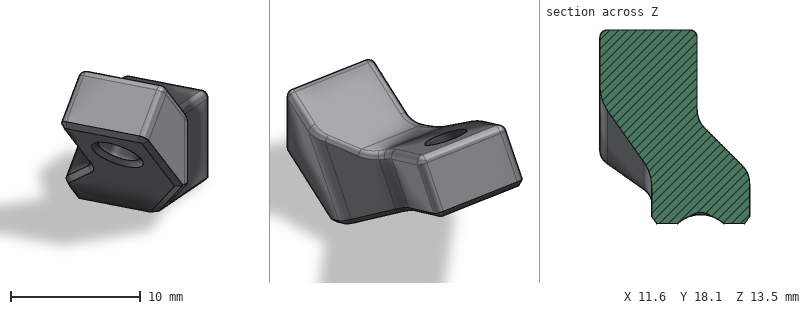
import cadquery as cq
import math

total_width = 11.55
length = 18.14
block_width = 7.51
block_height = 7.5
arm_left = 3.99
underside_start = 9.94
arm_thickness = 5.0
arm_reach = 7.42

bend_radius = 1.85
wall_radius = 2.0
edge_radius = 0.6
chamfer = 0.4

left_bend = -0.24
right_bend_y = 11.15

hole_diameter = 3.41
hole_along_arm = 3.61

SLOPE = math.sqrt(0.5)
margin = 10.88
tolerance = 0.01
pad = 0.18


def slope_point(along, height):
    """(Y, Z) of a point given along the arm and above its underside."""
    half = underside_start / 2
    return half + (height - along) * SLOPE, half + (height + along) * SLOPE


def along_arm(point):
    """Position of a point measured up the arm."""
    return (point.z - point.y) * SLOPE


def arm_plane(x):
    """Work plane on the sloped underside: local x is X, local y runs up the arm, normal points out."""
    y, z = slope_point(0, 0)
    return cq.Plane(origin=(x, y, z), xDir=(1, 0, 0), normal=(0, -1, -1))


def side_profile():
    """Bent bar: block and arm outline in YZ, extruded over the full width."""
    top_sum = underside_start + arm_thickness / SLOPE
    inner_bend_y = top_sum - block_height
    outline = [
        (length, 0),
        (underside_start, 0),
        slope_point(arm_reach, 0),
        slope_point(arm_reach, arm_thickness),
        (inner_bend_y, block_height),
        (length, block_height),
    ]
    bar = cq.Workplane("YZ").polyline(outline).close().extrude(total_width)
    bend = cq.selectors.BoxSelector(
        (-pad, inner_bend_y - pad, block_height - pad),
        (total_width + pad, inner_bend_y + pad, block_height + pad),
    )
    return bar.edges(bend).fillet(bend_radius)


def left_walls():
    """Material to keep on the left, its walls square to the arm's underside."""
    block_bend = left_bend - arm_left
    outline = [
        (0, -2 * margin),
        (0, block_bend),
        (arm_left, left_bend),
        (arm_left, 2 * margin),
        (2 * margin, 2 * margin),
        (2 * margin, -2 * margin),
    ]
    keep = cq.Workplane(arm_plane(0)).polyline(outline).close().extrude(2 * margin, both=True)
    bends = keep.edges(cq.selectors.ParallelDirSelector(cq.Vector(0, 1, 1)))
    bends = bends.filter(lambda e: block_bend - pad < along_arm(e.Center()) < left_bend + pad)
    return bends.fillet(wall_radius)


def right_walls():
    """Material to keep on the right, its walls vertical."""
    step = total_width - block_width
    outer_bend_y = right_bend_y - step
    outline = [
        (-margin, length + margin),
        (block_width, length + margin),
        (block_width, right_bend_y),
        (total_width, outer_bend_y),
        (total_width, -margin),
        (-margin, -margin),
    ]
    keep = cq.Workplane("XY").workplane(offset=-margin).polyline(outline).close().extrude(4 * margin)
    bends = keep.edges("|Z").filter(lambda e: outer_bend_y - pad < e.Center().y < right_bend_y + pad)
    return bends.fillet(wall_radius)


def lower_right_cut():
    """45 degree cut that also bevels the block's lower right edge."""
    start = block_width - chamfer
    outline = [(start - margin, -margin), (start + margin, margin), (start + margin, -margin)]
    return cq.Workplane("XZ").polyline(outline).close().extrude(2 * margin, both=True)


def faces_along(body, normal):
    """Flat faces whose outward normal is the given direction."""
    direction = cq.Vector(*normal).normalized()
    return body.faces("%PLANE").filter(lambda f: (f.normalAt() - direction).Length < tolerance)


def on_face(faces, edge):
    """Whether an edge lies on one of the selected faces."""
    return any(edge.isSame(other) for face in faces.vals() for other in face.Edges())


def round_edges(body):
    """Round the corners of both ends, then the whole upper rim."""
    ends = [faces_along(body, (0, 1, 0)), faces_along(body, (0, -1, 1))]
    upright = [e for end in ends for e in end.edges().vals() if abs(e.tangentAt(0).x) < tolerance]
    body = body.newObject(upright).fillet(edge_radius)
    top = faces_along(body, (0, 0, 1))
    slope = faces_along(body, (0, 1, 1))
    bend = body.faces("%CYLINDER").filter(
        lambda f: any(on_face(top, e) for e in f.Edges()) and any(on_face(slope, e) for e in f.Edges())
    )
    skin = top.add(slope).add(bend)
    shared = {}
    for face in skin.vals():
        for edge in face.Edges():
            shared.setdefault(edge.hashCode(), []).append(edge)
    rim = [group[0] for group in shared.values() if len(group) == 1]
    return body.newObject(rim).fillet(edge_radius)


def bevel_lower_edges(body):
    """Bevel around the bottom and the underside, keeping their shared edge and the 45 degree cut."""
    bottom = faces_along(body, (0, 0, -1))
    underside = faces_along(body, (0, -1, -1))
    cut = faces_along(body, (1, 0, -1))
    edges = [e for e in underside.edges().vals() if not on_face(bottom, e)]
    edges += [e for e in bottom.edges().vals() if not on_face(underside, e) and not on_face(cut, e)]
    return body.newObject(edges).chamfer(chamfer)


def screw_hole():
    """Through hole square to the arm, countersunk on the underside."""
    radius = hole_diameter / 2
    plane = arm_plane((arm_left + total_width) / 2)
    hole = cq.Workplane(plane).center(0, hole_along_arm).circle(radius).extrude(-margin)
    sink = cq.Workplane(plane).center(0, hole_along_arm).circle(radius + chamfer)
    sink = sink.workplane(offset=-chamfer).circle(radius).loft()
    return hole.union(sink)


body = side_profile().intersect(left_walls()).intersect(right_walls()).cut(lower_right_cut())
body = round_edges(body)
body = bevel_lower_edges(body)
result = body.cut(screw_hole())